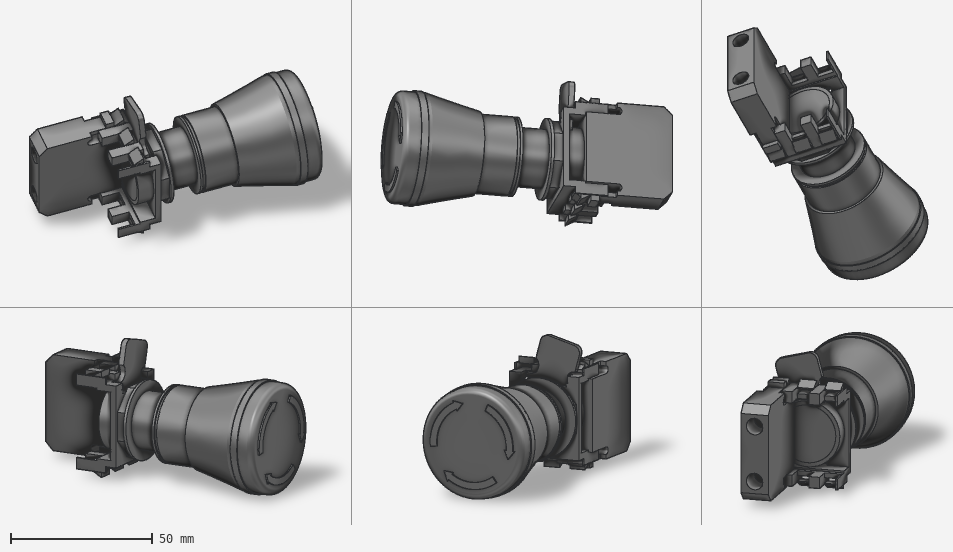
import cadquery as cq
import math


total_depth = 98.75
cap_face = 0.6
band_start = 6.7
band_end = 9.4
cone_start = 10.9
knob_end = 30.7
groove_start = 42.9
groove_end = 43.9
sleeve_end = 44.8
washer_start = 55.1
nut_start = 56.2
bracket_start = 59.6
bracket_plate_end = 61.8
lever_end = 63.9
rim_end = 67.5
finger_end = 75.7
catch_start = 66.0
sill_end = 69.3
catch_end = 69.6

knob_radius = 20.0
band_diameter = 41.0
cone_mid_radius = 17.5
cone_end_radius = 15.1
cap_fillet = 2.2
arrow_count = 3
arrow_mid_radius = 14.9
arrow_half_width = 1.3
arrow_head_half_width = 2.0
arrow_tail_angle = 113.0
arrow_head_angle = 184.0
arrow_tip_angle = 196.5

sleeve_radius = 14.1
groove_radius = 13.5
shaft_radius = 10.6
washer_radius = 14.5
nut_sides = 8
nut_across_flats = 25.3

bracket_half_width = 13.6
side_wall = 0.7
plate_half_height = 15.0
rim_inner_half_height = 12.5
finger_inner_half_height = 13.2
finger_outer_half_height = 17.4
finger_inner_x = 3.1
finger_outer_x = 7.0
catch_base = 17.0
catch_tip = 19.5
key_slot_width = 11.1
notch_width = 17.2
notch_floor = 11.2
recess_width = 18.3

lever_tilt = 15.0
handle_left = -6.4
handle_right = 9.4
handle_bottom = 18.4
handle_top = 27.8
handle_fillet = 2.8
neck_left = -4.1
neck_right = 7.5
neck_height = 15.6
hub_left = -5.9
hub_right = 7.8
hub_top = 14.1
toe_right = 11.6
toe_top = 12.3
toe_bottom = 11.2
ring_radius = 12.0

block_left = -15.1
block_width = 10.2
block_half_height = 17.6
block_chamfer = 3.1
shoulder_start = 78.8
slot_end = 80.4
arm_bottom = 15.9
latch_tip = 18.4
button_start = 69.7
button_end = 72.8
terminal_diameter = 6.0
terminal_height = 10.1
terminal_depth = 9.9

gap_outer_x = bracket_half_width - side_wall
gaps = [
    (-gap_outer_x, -finger_outer_x),
    (-finger_inner_x, finger_inner_x),
    (finger_outer_x, gap_outer_x),
]


def section(depth):
    """Plane across the axis at a depth; extruding from it runs deeper."""
    return cq.Workplane("XZ", origin=(0, -depth, 0))


def disc(radius, start, end):
    return section(start).circle(radius).extrude(end - start)


def box(x_range, depth_range, z_range):
    """Box between pairs of X, depth and Z limits."""
    x0, x1 = x_range
    d0, d1 = depth_range
    z0, z1 = z_range
    return cq.Workplane("XY").box(x1 - x0, d1 - d0, z1 - z0, centered=False).translate((x0, -d1, z0))


def side_profile(points, x0, x1):
    """Extrude a (depth, z) outline from x0 to x1."""
    outline = [(-depth, z) for depth, z in points]
    return cq.Workplane("YZ", origin=(x0, 0, 0)).polyline(outline).close().extrude(x1 - x0)


def mirrored_in_z(shape):
    return shape.union(shape.mirror("XY"))


def polar(radius, angle):
    return (radius * math.cos(math.radians(angle)), radius * math.sin(math.radians(angle)))


def make_arrow():
    """Raised curved arrow pointing the way the knob turns to release."""
    outer = arrow_mid_radius + arrow_half_width
    inner = arrow_mid_radius - arrow_half_width
    middle_angle = (arrow_tail_angle + arrow_head_angle) / 2
    return (
        section(0)
        .moveTo(*polar(outer, arrow_tail_angle))
        .threePointArc(polar(outer, middle_angle), polar(outer, arrow_head_angle))
        .lineTo(*polar(arrow_mid_radius + arrow_head_half_width, arrow_head_angle))
        .lineTo(*polar(arrow_mid_radius, arrow_tip_angle))
        .lineTo(*polar(arrow_mid_radius - arrow_head_half_width, arrow_head_angle))
        .lineTo(*polar(inner, arrow_head_angle))
        .threePointArc(polar(inner, middle_angle), polar(inner, arrow_tail_angle))
        .close()
        .extrude(cap_face)
    )


def make_knob():
    band_radius = band_diameter / 2
    cone_middle = (cone_start + knob_end) / 2
    knob = (
        cq.Workplane("XY")
        .moveTo(0, -cap_face)
        .lineTo(knob_radius - cap_fillet, -cap_face)
        .radiusArc((knob_radius, -cap_face - cap_fillet), cap_fillet)
        .lineTo(knob_radius, -band_start)
        .lineTo(band_radius, -band_start)
        .lineTo(band_radius, -band_end)
        .lineTo(knob_radius, -band_end)
        .lineTo(knob_radius, -cone_start)
        .threePointArc((cone_mid_radius, -cone_middle), (cone_end_radius, -knob_end))
        .lineTo(0, -knob_end)
        .close()
        .revolve(360, (0, 0), (0, 1))
    )
    for i in range(arrow_count):
        knob = knob.union(make_arrow().rotate((0, 0, 0), (0, 1, 0), i * 360 / arrow_count))
    return knob


def make_barrel():
    sleeve = disc(sleeve_radius, knob_end, groove_start)
    groove = disc(groove_radius, groove_start, groove_end)
    collar = disc(sleeve_radius, groove_end, sleeve_end)
    shaft = disc(shaft_radius, sleeve_end, rim_end)
    return sleeve.union(groove).union(collar).union(shaft)


def make_washer():
    return disc(washer_radius, washer_start, nut_start).cut(disc(shaft_radius, washer_start, nut_start))


def make_nut():
    across_corners = nut_across_flats / math.cos(math.pi / nut_sides)
    nut = (
        section(nut_start)
        .transformed(rotate=(0, 0, 180 / nut_sides))
        .polygon(nut_sides, across_corners)
        .extrude(bracket_start - nut_start)
    )
    return nut.cut(disc(shaft_radius, nut_start, bracket_start))


def make_bracket():
    rim_profile = [
        (bracket_start, 0),
        (bracket_start, plate_half_height),
        (lever_end, plate_half_height),
        (lever_end, finger_outer_half_height),
        (finger_end, finger_outer_half_height),
        (finger_end, finger_inner_half_height),
        (rim_end, finger_inner_half_height),
        (rim_end, rim_inner_half_height),
        (bracket_plate_end, rim_inner_half_height),
        (bracket_plate_end, 0),
    ]
    half = side_profile(rim_profile, -bracket_half_width, bracket_half_width)
    catch_profile = [
        (catch_start, catch_base),
        (catch_start, catch_tip),
        (catch_end, finger_outer_half_height),
        (catch_end, catch_base),
    ]
    for gap in gaps:
        half = half.cut(box(gap, (lever_end, finger_end), (plate_half_height, catch_tip)))
        half = half.cut(box(gap, (sill_end, finger_end), (0, plate_half_height)))
        half = half.union(side_profile(catch_profile, *gap))
    bracket = mirrored_in_z(half)

    plate_depths = (bracket_start, bracket_plate_end)
    bracket = bracket.cut(disc(shaft_radius, *plate_depths))
    key_slot = (-key_slot_width / 2, key_slot_width / 2)
    bracket = bracket.cut(box(key_slot, plate_depths, (-rim_inner_half_height, rim_inner_half_height)))
    notch = (-notch_width / 2, notch_width / 2)
    bracket = bracket.cut(box(notch, plate_depths, (notch_floor, plate_half_height)))
    recess = (-recess_width / 2, recess_width / 2)
    return bracket.cut(box(recess, (bracket_start, lever_end), (rim_inner_half_height, plate_half_height)))


def make_lever():
    plate_thickness = lever_end - bracket_plate_end
    plate = (
        section(bracket_plate_end)
        .moveTo(hub_left, 0)
        .lineTo(hub_left, hub_top)
        .threePointArc((neck_left, neck_height), (handle_left, handle_bottom))
        .lineTo(handle_left, handle_top)
        .lineTo(handle_right, handle_top)
        .lineTo(handle_right, handle_bottom)
        .threePointArc((neck_right, neck_height), (toe_right, toe_top))
        .lineTo(toe_right, toe_bottom)
        .lineTo(hub_right, toe_bottom)
        .lineTo(hub_right, 0)
        .close()
        .extrude(plate_thickness)
    )
    plate = plate.faces(">Z").edges("|Y").fillet(handle_fillet)
    plate = plate.rotate((0, 0, 0), (0, 1, 0), -lever_tilt)
    ring = disc(ring_radius, bracket_plate_end, rim_end)
    ring_notch = box(
        (-key_slot_width / 2, key_slot_width / 2),
        (bracket_plate_end, lever_end),
        (-ring_radius, 0),
    )
    ring = ring.cut(ring_notch)
    return plate.union(ring).cut(disc(shaft_radius, bracket_plate_end, rim_end))


def make_contact_block():
    block_right = block_left + block_width
    block_x = (block_left, block_right)
    arm_x = gaps[0]
    block = box(block_x, (rim_end, total_depth), (-block_half_height, block_half_height))
    block = block.edges("|X and <Y").chamfer(block_chamfer)

    slot_height = arm_bottom - finger_inner_half_height
    slot_radius = slot_height / 2
    clear = box(
        block_x,
        (rim_end, slot_end - slot_radius),
        (finger_inner_half_height, arm_bottom),
    ).union(
        cq.Workplane("YZ", origin=(block_left, slot_radius - slot_end, arm_bottom - slot_radius))
        .circle(slot_radius)
        .extrude(block_width)
    )
    for side in [(block_left, arm_x[0]), (arm_x[1], block_right)]:
        clear = clear.union(
            box(side, (rim_end, shoulder_start), (finger_inner_half_height, block_half_height))
        )
    clear = clear.union(box(arm_x, (rim_end, button_start), (catch_base, block_half_height)))
    block = block.cut(mirrored_in_z(clear))

    nose_profile = [
        (lever_end, arm_bottom),
        (lever_end, catch_base),
        (catch_start, latch_tip),
        (catch_start, catch_base),
        (button_start, catch_base),
        (button_start, catch_tip),
        (button_end, catch_tip),
        (button_end, arm_bottom),
    ]
    block = block.union(mirrored_in_z(side_profile(nose_profile, *arm_x)))

    terminal = (
        cq.Workplane("XZ", origin=(block_left + block_width / 2, -total_depth, 0))
        .pushPoints([(0, terminal_height), (0, -terminal_height)])
        .circle(terminal_diameter / 2)
        .extrude(-terminal_depth)
    )
    return block.cut(terminal)


knob = make_knob()
barrel = make_barrel()
washer = make_washer()
nut = make_nut()
bracket = make_bracket()
lever = make_lever()
contact_block = make_contact_block()

result = cq.Compound.makeCompound(
    [
        knob.solids().val(),
        barrel.solids().val(),
        washer.solids().val(),
        nut.solids().val(),
        bracket.solids().val(),
        lever.solids().val(),
        contact_block.solids().val(),
    ]
)